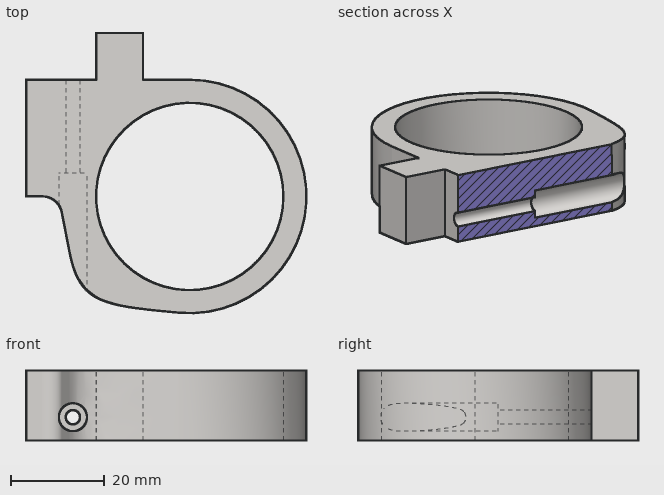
import cadquery as cq
import math

length = 60.0
width = 60.0
thickness = 15.0

bore_diameter = 40.0
outer_diameter = 50.0
ring_radius = outer_diameter / 2
ring_x = length - ring_radius
ring_y = ring_radius

block_bottom = ring_y
block_top = ring_y + ring_radius

tab_left = ring_x - bore_diameter / 2
tab_width = 10.0

neck_corner_x = 6.95
neck_corner_radius = 4.2
flank_angle = math.radians(79)
flank_length = 12.25
sweep_start_handle = 11.2
sweep_end_handle = 15.8
sweep_end_x = 32.7

screw_x = 10.0
screw_z = thickness / 3
screw_diameter = 3.0
head_diameter = 6.0
head_seat_y = 30.0


def step(point, angle, distance):
    """Point reached by moving a distance from a point, with the angle in radians from +X."""
    return (
        point[0] + distance * math.cos(angle),
        point[1] + distance * math.sin(angle),
    )


def ring_point(angle):
    """Point on the ring's outer circle, with the angle in radians from +X."""
    return step((ring_x, ring_y), angle, ring_radius)


def make_body():
    """Block, neck and ring in one outline, before the bore is cut."""
    neck_corner = (neck_corner_x, block_bottom)
    sweep_start = step(neck_corner, -flank_angle, flank_length)

    sweep_end_angle = -math.acos((sweep_end_x - ring_x) / ring_radius)
    sweep_end = ring_point(sweep_end_angle)
    start_handle = step(sweep_start, -flank_angle, sweep_start_handle)
    end_handle = step(sweep_end, sweep_end_angle - math.pi / 2, sweep_end_handle)

    return (
        cq.Workplane("XY")
        .moveTo(0, block_bottom)
        .lineTo(*neck_corner)
        .lineTo(*sweep_start)
        .bezier([sweep_start, start_handle, end_handle, sweep_end])
        .threePointArc(ring_point(-math.pi / 2), ring_point(-math.pi / 4))
        .threePointArc(ring_point(0), ring_point(math.pi / 2))
        .lineTo(0, block_top)
        .close()
        .extrude(thickness)
        .edges(cq.selectors.NearestToPointSelector((*neck_corner, thickness / 2)))
        .fillet(neck_corner_radius)
    )


def make_tab():
    """Rectangular tab rising from the block's upper face."""
    return (
        cq.Workplane("XY")
        .moveTo(tab_left, block_top)
        .rect(tab_width, width - block_top, centered=False)
        .extrude(thickness)
    )


def make_bore():
    """Through bore of the ring."""
    return cq.Workplane("XY").center(ring_x, ring_y).circle(bore_diameter / 2).extrude(thickness)


def make_rod(diameter, rod_length):
    """Round cutter on the screw axis, reaching from Y = 0 towards +Y."""
    return (
        cq.Workplane("XZ")
        .center(screw_x, screw_z)
        .circle(diameter / 2)
        .extrude(-rod_length)
    )


result = (
    make_body()
    .union(make_tab())
    .cut(make_bore())
    .cut(make_rod(head_diameter, head_seat_y))
    .cut(make_rod(screw_diameter, block_top))
)